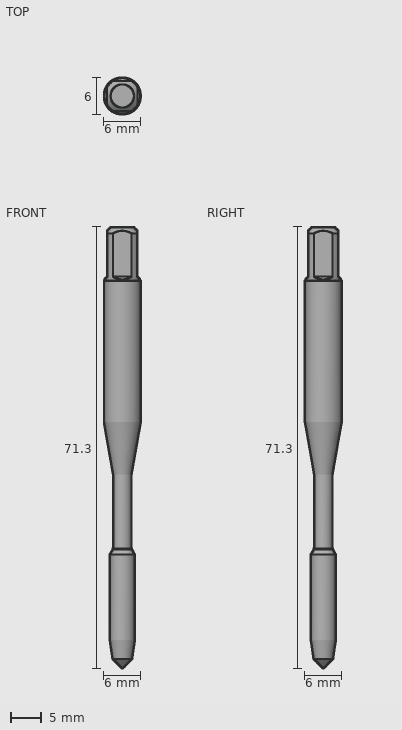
import cadquery as cq


total_length = 71.34

shank_diameter = 6.0
shank_end_z = 39.85
taper_end_z = 31.34
neck_blend_radius = 0.5

drive_diameter = 5.76
across_flats = 4.9
flat_length = 8.0
drive_length = 8.7
drive_chamfer = 1.0
shoulder_chamfer = (shank_diameter - drive_diameter) / 2

neck_diameter = 3.0

thread_diameter = 4.09
head_top_z = 19.43
head_top_diameter = 3.16
head_chamfer_height = 0.79
head_collar_height = 0.2
lead_start_z = 4.6
lead_end_diameter = 3.2
tip_height = lead_end_diameter / 2


def revolve_about_axis(profile):
    """Solid of revolution about Z from (radius, z) points that start and end on the axis."""
    return cq.Workplane("XZ").polyline(profile).close().revolve(360, (0, 0, 0), (0, 1, 0))


def flat_cutter():
    """Material beside one drive flat, ending below in a 45 degree run-out."""
    flat_distance = across_flats / 2
    flat_bottom_z = total_length - flat_length
    reach = shank_diameter / 2
    profile = [
        (flat_distance, total_length),
        (flat_distance, flat_bottom_z),
        (flat_distance + reach, flat_bottom_z - reach),
        (flat_distance + reach, total_length),
    ]
    return cq.Workplane("XZ").polyline(profile).close().extrude(reach, both=True)


def make_shank():
    """Square drive, cylindrical shank, taper and neck."""
    drive_radius = drive_diameter / 2
    shank_radius = shank_diameter / 2
    neck_radius = neck_diameter / 2
    drive_end_z = total_length - drive_length
    shank = revolve_about_axis([
        (0, head_top_z),
        (neck_radius, head_top_z),
        (neck_radius, taper_end_z),
        (shank_radius, shank_end_z),
        (shank_radius, drive_end_z),
        (drive_radius, drive_end_z + shoulder_chamfer),
        (drive_radius, total_length - drive_chamfer),
        (drive_radius - drive_chamfer, total_length),
        (0, total_length),
    ])
    taper_end_edge = cq.selectors.NearestToPointSelector((neck_radius, 0, taper_end_z))
    shank = shank.edges("%CIRCLE").edges(taper_end_edge).fillet(neck_blend_radius)
    for angle in (0, 90, 180, 270):
        shank = shank.cut(flat_cutter().rotate((0, 0, 0), (0, 0, 1), angle))
    return shank


def make_thread_head():
    """Plain thread envelope with a chamfered back end, a narrowing lead and a point."""
    thread_radius = thread_diameter / 2
    return revolve_about_axis([
        (0, 0),
        (lead_end_diameter / 2, tip_height),
        (thread_radius, lead_start_z),
        (thread_radius, head_top_z - head_collar_height - head_chamfer_height),
        (head_top_diameter / 2, head_top_z - head_collar_height),
        (head_top_diameter / 2, head_top_z),
        (0, head_top_z),
    ])


shank = make_shank()
thread_head = make_thread_head()

result = cq.Compound.makeCompound([shank.val(), thread_head.val()])